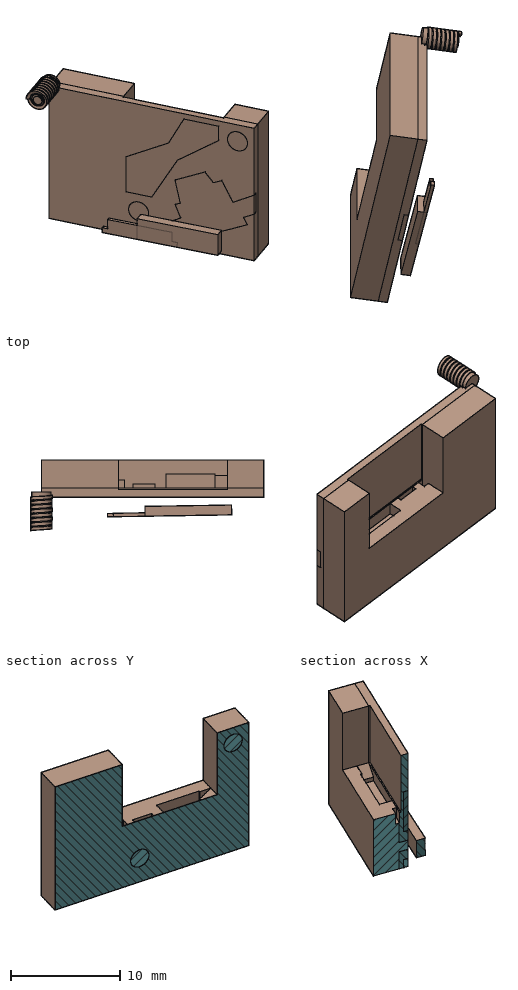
import cadquery as cq


thread_diameter = 2.0
overall_width = 21.4
overall_height = 15.0
width = overall_width - thread_diameter / 2
height = overall_height - thread_diameter / 2
plate_thickness = 0.85
block_thickness = 2.6
block_back = plate_thickness + block_thickness

notch_left = 7.08
notch_right = 17.05
notch_depth = height / 2
notch_plate_cut = 0.13

floor_pockets = [
    (notch_left, 7.62, 0.75),
    (8.39, 10.4, 0.39),
    (11.43, 15.9, 1.28),
]
floor_pocket_depth = 1.28

ramp_left = 15.9
ramp_thickness = 1.15
ramp_drop = 0.81

peg_diameter = 2.0
peg_centres = [(18.75, -1.73), (8.92, -11.3)]

inlay_depth = 0.43
upper_inlay_outline = [
    (7.68, -5.8),
    (11.9, -3.42),
    (13.42, -0.55),
    (16.86, -0.55),
    (16.86, -2.08),
    (12.78, -5.05),
    (10.23, -9.5),
    (7.68, -9.5),
]
lower_inlay_outline = [
    (12.55, -7.2),
    (15.52, -5.7),
    (16.35, -6.63),
    (17.18, -6.23),
    (18.3, -8.28),
    (width, -7.06),
    (width, -9.07),
    (19.35, -9.65),
    (19.7, -10.34),
    (17.53, -11.43),
    (12.6, -13.31),
    (12.6, -height),
    (9.44, -height),
    (9.44, -13.18),
    (13.1, -11.09),
    (12.56, -9.78),
    (13.05, -9.52),
]

collar_diameter = 1.8
core_diameter = 1.4
pin_diameter = 1.05
tip_diameter = 0.85
tip_length = 0.09
thread_length = 3.0
thread_turns = 7.5
thread_pitch = thread_length / thread_turns
crest_width = 0.3
root_width = 0.06
thread_root_overlap = 0.05
collar_back = 0.51
collar_length = 0.45
thread_start = collar_back - collar_length
thread_end = thread_start - thread_length
core_front = thread_end + thread_pitch / 2
pin_front = thread_end + 0.02
pin_embedding = 0.21

strip_left = 6.05
strip_right = 13.45
strip_top = -11.75
strip_thickness = 0.32
foot_length = 0.54
foot_height = 0.51
bar_left = 9.5
bar_right = 17.46
bar_top = -11.05
bar_thickness = 0.9
slider_bottom = -13.23
slider_front = -1.8
turn_about_z = 0.9
lean_about_x = 0.8


def box(x_range, y_range, z_range):
    """Box between pairs of limits along X, Y and Z."""
    starts = [min(limits) for limits in (x_range, y_range, z_range)]
    sizes = [abs(b - a) for a, b in (x_range, y_range, z_range)]
    return cq.Workplane().box(*sizes, centered=False).translate(tuple(starts))


def prism(outline, front, back):
    """Prism of an (X, Z) outline between two Y positions."""
    return cq.Workplane("XZ", origin=(0, front, 0)).polyline(outline).close().extrude(front - back)


def rod(diameter, front, back, centre=(0, 0)):
    """Cylinder along Y between two Y positions, with its axis at an (X, Z) centre."""
    return cq.Workplane("XZ", origin=(0, front, 0)).center(*centre).circle(diameter / 2).extrude(front - back)


def pegs():
    """The two locating pegs, through the full plate thickness."""
    first, second = [rod(peg_diameter, 0, plate_thickness, centre) for centre in peg_centres]
    return first.union(second)


def notch():
    """Cutter for the notch in the top edge."""
    return box(
        (notch_left, notch_right),
        (plate_thickness - notch_plate_cut, block_back),
        (-notch_depth, 0),
    )


def screw_recess():
    """Stepped cutter for the end of the screw at the plate corner."""
    thread_back = thread_start + crest_width / 2
    return rod(thread_diameter, 0, thread_back).union(rod(collar_diameter, 0, collar_back))


def make_block():
    block = box((0, width), (plate_thickness, block_back), (-height, 0)).cut(notch())
    pocket_floor = -notch_depth - floor_pocket_depth
    for left, right, thickness in floor_pockets:
        pocket_back = plate_thickness + thickness
        block = block.cut(box((left, right), (plate_thickness, pocket_back), (pocket_floor, -notch_depth)))
    ramp = [(ramp_left, -notch_depth - ramp_drop), (notch_right, -notch_depth), (ramp_left, -notch_depth)]
    block = block.cut(prism(ramp, plate_thickness, plate_thickness + ramp_thickness))
    return block.union(pegs())


def make_inlay(outline):
    return prism(outline, 0, inlay_depth)


def make_plate():
    plate = box((0, width), (0, plate_thickness), (-height, 0))
    plate = plate.cut(notch()).cut(pegs()).cut(screw_recess())
    for outline in (upper_inlay_outline, lower_inlay_outline):
        plate = plate.cut(make_inlay(outline))
    return plate


def make_thread():
    """Right-hand helical ridge whose section widens from root to crest, advancing toward -Y."""
    root_radius = core_diameter / 2 - thread_root_overlap
    crest_radius = thread_diameter / 2
    section = [
        (root_radius, -root_width / 2),
        (crest_radius, -crest_width / 2),
        (crest_radius, crest_width / 2),
        (root_radius, root_width / 2),
    ]
    helices = [
        cq.Wire.makeHelix(thread_pitch, thread_length, radius).translate(cq.Vector(0, 0, offset))
        for radius, offset in section
    ]
    faces = [
        cq.Face.makeRuledSurface(helix, next_helix)
        for helix, next_helix in zip(helices, helices[1:] + helices[:1])
    ]
    start_corners = [helix.startPoint() for helix in helices]
    end_corners = [helix.endPoint() for helix in helices]
    for corners in (start_corners, end_corners):
        faces.append(cq.Face.makeFromWires(cq.Wire.makePolygon(corners, close=True)))
    ridge = cq.Workplane(cq.Solid.makeSolid(cq.Shell.makeShell(faces)))
    return ridge.rotate((0, 0, 0), (1, 0, 0), 90).translate((0, thread_start, 0))


def make_tip():
    """Tapered end of the pin, leaning to +X so that its end is tangent to the side of the pin."""
    tip_shift = (pin_diameter - tip_diameter) / 2
    return (
        cq.Workplane("XZ", origin=(0, pin_front + tip_length, 0))
        .circle(pin_diameter / 2)
        .workplane(offset=tip_length)
        .center(tip_shift, 0)
        .circle(tip_diameter / 2)
        .loft()
    )


def make_screw():
    core = rod(core_diameter, core_front, thread_start + collar_length / 2).rotate((0, 0, 0), (0, 1, 0), 180)
    collar = rod(collar_diameter, thread_start, collar_back).rotate((0, 0, 0), (0, 1, 0), 180)
    pin = rod(pin_diameter, pin_front + tip_length, core_front + pin_embedding)
    return core.union(make_thread()).union(collar).union(pin).union(make_tip())


def make_slider():
    strip_back = slider_front + strip_thickness
    foot_top = slider_bottom + foot_height
    strip_outline = [
        (strip_left, slider_bottom),
        (strip_left, foot_top),
        (strip_left + foot_length, foot_top),
        (strip_left + foot_length, strip_top),
        (strip_right - foot_length, strip_top),
        (strip_right - foot_length, foot_top),
        (strip_right, foot_top),
        (strip_right, slider_bottom),
    ]
    strip = prism(strip_outline, slider_front, strip_back)
    bar = box(
        (bar_left, bar_right),
        (slider_front, slider_front + bar_thickness),
        (slider_bottom, bar_top),
    )
    slider = bar.union(strip, clean=False)
    pivot = cq.Vector(strip_left, slider_front, slider_bottom)
    slider = slider.rotate(pivot, pivot + cq.Vector(0.21, 0, 0), -lean_about_x)
    return slider.rotate(pivot, pivot + cq.Vector(0, 0, 0.21), turn_about_z)


block = make_block()
plate = make_plate()
upper_inlay = make_inlay(upper_inlay_outline)
lower_inlay = make_inlay(lower_inlay_outline)
screw = make_screw()
slider = make_slider()

result = cq.Compound.makeCompound(
    [
        block.val(),
        plate.val(),
        upper_inlay.val(),
        lower_inlay.val(),
        screw.val(),
        slider.val(),
    ]
)